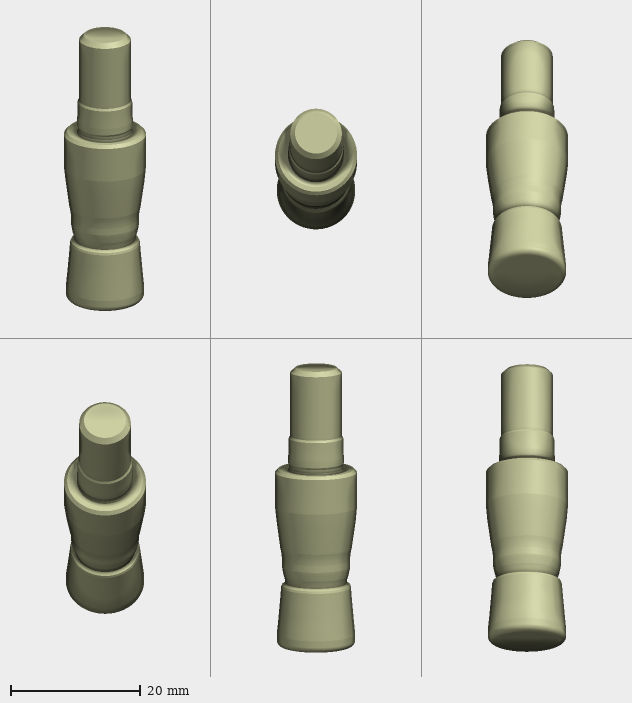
import cadquery as cq
import math

total_height = 44.0
body_radius = 12.7 / 2

foot_radius = 6.05
foot_fillet = 0.92
foot_band_top = 1.95
foot_cone_top = 9.35
foot_cone_top_radius = 5.4
foot_shoulder_height = 0.35
foot_shoulder_radius = 5.3

waist_base = 10.0
waist_base_radius = 4.75
waist_blend_top = 11.18
waist_blend_radius = 5.0
waist_blend_sag = 0.05
grip_base = 12.65
grip_top = 13.7
grip_radius = 5.3
grip_round_sag = 0.05

flare_base = 15.55
flare_base_radius = 5.55
flare_blend_sag = 0.055
flare_corner = 20.9
band_base = 22.05
body_top = 28.0
body_chamfer = 0.5

dish_outer_radius = 5.15
dish_inner_radius = 4.35
dish_depth = 0.18

neck_radius = 4.2
neck_base = 28.1
neck_top = 28.65
collar_base = 28.95
collar_band_top = 30.0
collar_radius = 4.3
collar_cone_top = 32.9
collar_cone_top_radius = 4.22
collar_cone_sag = 0.02
collar_top = 33.25

stud_radius = 4.0
stud_tip_radius = 3.25
stud_chamfer_height = 0.7


def arc_middle(start, end, sag):
    """Point on an arc from start to end; positive sag bulges away from the axis."""
    dr = end[0] - start[0]
    dz = end[1] - start[1]
    chord = math.hypot(dr, dz)
    return ((start[0] + end[0]) / 2 + sag * dz / chord, (start[1] + end[1]) / 2 - sag * dr / chord)


foot_fillet_start = (foot_radius - foot_fillet, 0)
foot_fillet_end = (foot_radius, foot_fillet)
fillet_sag = foot_fillet * (1 - math.sqrt(0.5))
waist_start = (waist_base_radius, waist_base)
waist_end = (waist_blend_radius, waist_blend_top)
grip_start = (grip_radius, grip_base)
grip_end = (grip_radius, grip_top)
flare_start = (flare_base_radius, flare_base)
band_start = (body_radius, band_base)
collar_start = (collar_radius, collar_band_top)
collar_end = (collar_cone_top_radius, collar_cone_top)

profile = (
    cq.Workplane("XZ")
    .moveTo(0, 0)
    .lineTo(*foot_fillet_start)
    .threePointArc(arc_middle(foot_fillet_start, foot_fillet_end, fillet_sag), foot_fillet_end)
    .lineTo(foot_radius, foot_band_top)
    .lineTo(foot_cone_top_radius, foot_cone_top)
    .lineTo(foot_shoulder_radius, foot_cone_top + foot_shoulder_height)
    .lineTo(*waist_start)
    .threePointArc(arc_middle(waist_start, waist_end, -waist_blend_sag), waist_end)
    .threePointArc(arc_middle(waist_end, grip_start, grip_round_sag), grip_start)
    .lineTo(*grip_end)
    .threePointArc(arc_middle(grip_end, flare_start, -flare_blend_sag), flare_start)
    .bezier([flare_start, (body_radius, flare_corner), band_start])
    .lineTo(body_radius, body_top - body_chamfer)
    .lineTo(body_radius - body_chamfer, body_top)
    .lineTo(dish_outer_radius, body_top)
    .lineTo(dish_inner_radius, body_top - dish_depth)
    .lineTo(neck_radius, neck_base)
    .lineTo(neck_radius, neck_top)
    .lineTo(collar_radius, collar_base)
    .lineTo(*collar_start)
    .threePointArc(arc_middle(collar_start, collar_end, -collar_cone_sag), collar_end)
    .lineTo(stud_radius, collar_top)
    .lineTo(stud_radius, total_height - stud_chamfer_height)
    .lineTo(stud_tip_radius, total_height)
    .lineTo(0, total_height)
    .close()
)

result = profile.revolve(360, (0, 0, 0), (0, 1, 0))